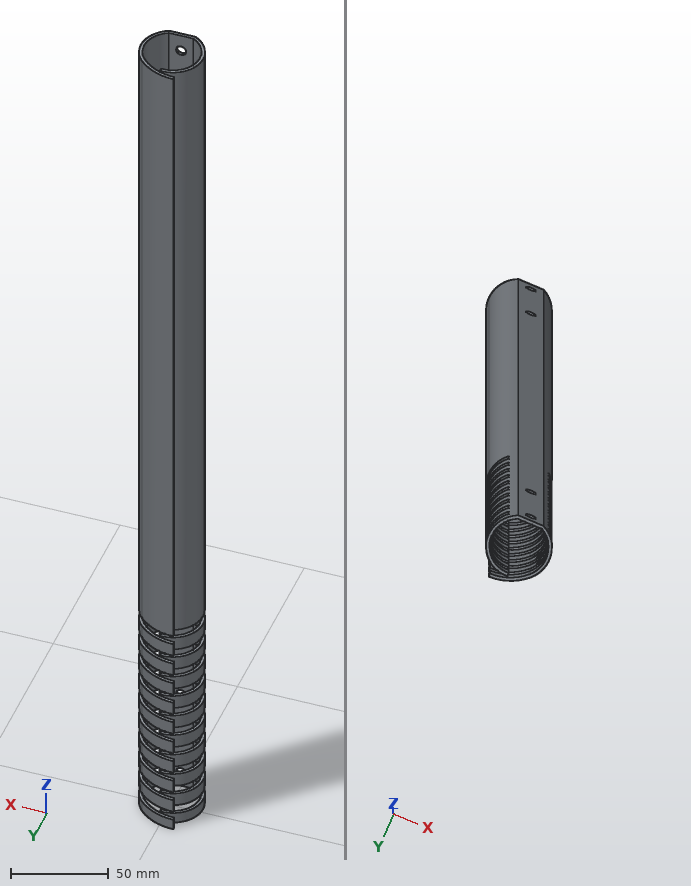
import cadquery as cq
import math

length = 500.0
outer_radius = 16.9
wall = 1.8
flat_half_width = 7.0

overall_depth = 35.6
tongue_radius = 16.2
tongue_end_x = 0.8
lap_start_angle = math.radians(45)

slot_count = 10
slot_pitch = 13.0
slot_height = 5.2
slot_floor_depth = 2.9
low_end_margin = 9.0
high_end_margin = 10.0
hole_diameter = 5.5
hole_spacing = 4 * slot_pitch

inner_radius = outer_radius - wall
front_y = -math.sqrt(outer_radius**2 - flat_half_width**2)
inner_front_y = front_y + wall
inner_flat_half_width = math.sqrt(inner_radius**2 - inner_front_y**2)

tongue_center_x = tongue_radius - outer_radius

lap_tip_y = front_y + overall_depth
lap_center_offset = (lap_tip_y - outer_radius) / (1 - math.sin(lap_start_angle))
lap_center_x = -lap_center_offset * math.cos(lap_start_angle)
lap_center_y = -lap_center_offset * math.sin(lap_start_angle)
lap_radius = outer_radius + lap_center_offset
lap_tip_angle = math.pi / 2
lap_middle_angle = (lap_start_angle + lap_tip_angle) / 2


def lap_point(inset, angle):
    """Point on the lap, the given distance inside its outer face, at an angle from +X."""
    radius = lap_radius - inset
    return (lap_center_x + radius * math.cos(angle), lap_center_y + radius * math.sin(angle))


def tongue_point(inset, angle):
    """Point on the tongue, the given distance inside its outer face, at an angle from +X."""
    radius = tongue_radius - inset
    return (tongue_center_x + radius * math.cos(angle), radius * math.sin(angle))


def left_side_middle(radius):
    """Point of a circle about the tube axis, midway between the -X and -Y directions."""
    return (-radius * math.sqrt(0.5), -radius * math.sqrt(0.5))


def make_tube():
    """Open rolled section with a flat front, an inner tongue and an outer lap at the back."""
    tongue_end_angle = math.acos((tongue_end_x - tongue_center_x) / tongue_radius)
    tongue_middle_angle = (tongue_end_angle + math.pi) / 2
    return (
        cq.Workplane("XY")
        .moveTo(-flat_half_width, front_y)
        .lineTo(flat_half_width, front_y)
        .threePointArc((outer_radius, 0), lap_point(0, lap_start_angle))
        .threePointArc(lap_point(0, lap_middle_angle), lap_point(0, lap_tip_angle))
        .lineTo(*lap_point(wall, lap_tip_angle))
        .threePointArc(lap_point(wall, lap_middle_angle), lap_point(wall, lap_start_angle))
        .threePointArc((inner_radius, 0), (inner_flat_half_width, inner_front_y))
        .lineTo(-inner_flat_half_width, inner_front_y)
        .threePointArc(left_side_middle(inner_radius), (-inner_radius, 0))
        .threePointArc(tongue_point(wall, tongue_middle_angle), tongue_point(wall, tongue_end_angle))
        .lineTo(*tongue_point(0, tongue_end_angle))
        .threePointArc(tongue_point(0, tongue_middle_angle), (-outer_radius, 0))
        .threePointArc(left_side_middle(outer_radius), (-flat_half_width, front_y))
        .close()
        .extrude(length)
    )


def cut_slots(body):
    """Cut the row of slots through everything behind the slot floor."""
    slot_width = 3 * outer_radius
    slot_floor_y = front_y + slot_floor_depth
    for index in range(slot_count):
        slot = (
            cq.Workplane("XY")
            .box(slot_width, overall_depth, slot_height, centered=(True, False, True))
            .translate((0, slot_floor_y, low_end_margin + index * slot_pitch))
        )
        body = body.cut(slot)
    return body


def cut_holes(body):
    """Cut a pair of holes through the front flat near each end."""
    low_holes = [low_end_margin, low_end_margin + hole_spacing]
    high_holes = [length - high_end_margin, length - high_end_margin - hole_spacing]
    for z in low_holes + high_holes:
        hole = cq.Workplane("XZ", origin=(0, 0, z)).circle(hole_diameter / 2).extrude(outer_radius)
        body = body.cut(hole)
    return body


result = cut_holes(cut_slots(make_tube()))